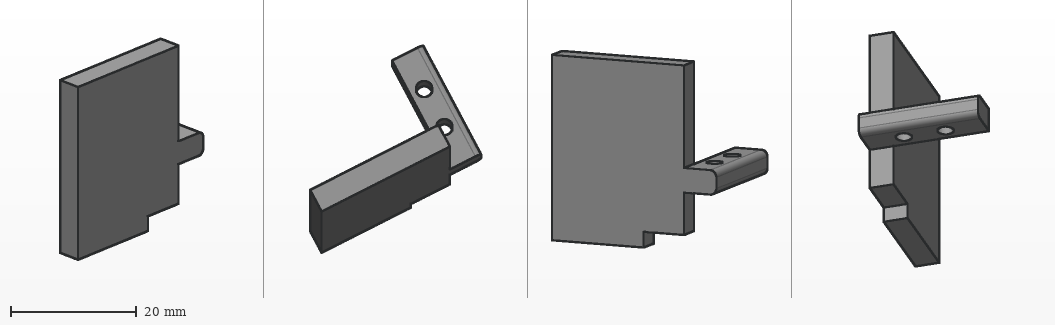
import cadquery as cq

plate_thickness = 4.0
plate_depth = 23.0
plate_height = 30.0
notch_depth = 7.02
notch_height = 2.55

arm_length = 20.0
arm_depth = 5.65
arm_height = plate_thickness
arm_bottom = 9.42
arm_edge_radius = 1.08

hole_diameter = 2.6
hole_count = 2
first_hole_x = 6.48
hole_spacing = 7.0
hole_from_rear = 3.25

rear_y = plate_depth + arm_depth


def make_plate():
    """Plate with a rectangular notch in its lower rear corner."""
    notch_y = plate_depth - notch_depth
    return (
        cq.Workplane("YZ", origin=(arm_length - plate_thickness, 0, 0))
        .polyline([
            (0, 0),
            (notch_y, 0),
            (notch_y, notch_height),
            (plate_depth, notch_height),
            (plate_depth, plate_height),
            (0, plate_height),
        ])
        .close()
        .extrude(plate_thickness)
    )


def make_arm():
    """Bar with rounded rear edges and two vertical holes."""
    hole_y = rear_y - hole_from_rear
    arm = (
        cq.Workplane("XY", origin=(0, plate_depth, arm_bottom))
        .box(arm_length, arm_depth, arm_height, centered=False)
        .faces(">Y")
        .edges("|X")
        .fillet(arm_edge_radius)
    )
    holes = (
        cq.Workplane("XY", origin=(0, 0, arm_bottom))
        .pushPoints([(first_hole_x + i * hole_spacing, hole_y) for i in range(hole_count)])
        .circle(hole_diameter / 2)
        .extrude(arm_height)
    )
    return arm.cut(holes)


result = make_plate().union(make_arm())